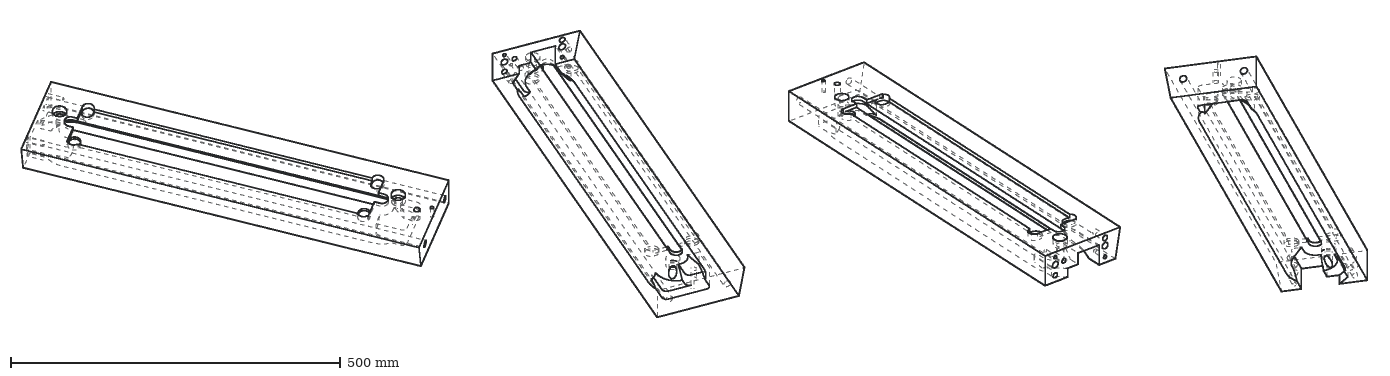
import cadquery as cq
import math

LENGTH = 637.0
WIDTH = 144.5
HEIGHT = 52.0
FRONT_SLOPE = 10.0

SLOT_START = 44.0
SLOT_END = 562.0
SLOT_WIDTH = 19.0
SLOT_Y = 77.0
RECESS_START = 61.0
RECESS_END = 543.0
RECESS_FRONT = 37.0
RECESS_BACK = 112.0
RECESS_DEPTH = 6.5
RECESS_FLOOR = HEIGHT - RECESS_DEPTH
FLARE_ANGLE = 38.0

RELIEF_WIDTH = 18.5
RELIEF_LENGTH = 22.0
RELIEF_FRONT_Y = 44.0
RELIEF_BACK_Y = 109.5
RELIEF_DEPTH = 11.0

POCKET_FRONT = 41.0
POCKET_BACK = 81.0
POCKET_TOP = 35.0
POCKET_CORNER = 7.5
STEP_MOUTH_BACK = 100.5
STEP_BACK = 118.5
STEP_TOP = 15.0
LEFT_POCKET_END = 66.0
RIGHT_POCKET_START = 554.0
RIGHT_POCKET_END = 602.0

MOUNT_POINTS = [(31.0, 92.0), (573.0, 92.0)]
MOUNT_BORE = 12.0
MOUNT_COUNTERBORE = 21.5
MOUNT_COUNTERBORE_DEPTH = 13.0

TOP_HOLES = [(609.5, 72.5, 9.0), (630.0, 83.5, 5.0)]
TOP_HOLE_DEPTH = 19.0
DRILL_POINT_ANGLE = 118.0

END_FRONT_Y = 29.0
END_BACK_Y = 125.0
END_BORE_Z = 30.0
END_BORE = 11.0
END_HOLES = [
    (END_BACK_Y, 43.0, 5.0),
    (END_BACK_Y, 11.5, 8.0),
    (108.0, 31.0, 7.5),
    (END_FRONT_Y, 43.0, 9.0),
    (END_FRONT_Y, 10.0, 6.0),
]
END_HOLE_DEPTH = 25.5


def box_between(x0, x1, y0, y1, z0, z1):
    return cq.Workplane("XY").box(x1 - x0, y1 - y0, z1 - z0, centered=False).translate((x0, y0, z0))


def straight_hole(diameter, depth):
    return cq.Workplane("XY").circle(diameter / 2).extrude(depth)


def drilled_hole(diameter, depth):
    """Blind hole along +Z from the origin, ending in a conical drill tip."""
    radius = diameter / 2
    tip = radius / math.tan(math.radians(DRILL_POINT_ANGLE / 2))
    half_section = [(0, 0), (radius, 0), (radius, depth), (0, depth + tip)]
    return cq.Workplane("XZ").polyline(half_section).close().revolve(360, (0, 0), (0, 1))


def from_top(tool, x, y):
    return tool.rotate((0, 0, 0), (1, 0, 0), 180).translate((x, y, HEIGHT))


def from_left_end(tool, y, z):
    return tool.rotate((0, 0, 0), (0, 1, 0), 90).translate((0, y, z))


def body():
    inset = HEIGHT * math.tan(math.radians(FRONT_SLOPE))
    profile = [(0, HEIGHT), (WIDTH, HEIGHT), (WIDTH, 0), (inset, 0)]
    return cq.Workplane("YZ").polyline(profile).close().extrude(LENGTH)


def slot():
    middle = ((SLOT_START + SLOT_END) / 2, SLOT_Y, RECESS_FLOOR)
    plane = cq.Workplane("XY", origin=middle)
    straight = plane.slot2D(SLOT_END - SLOT_START, SLOT_WIDTH).extrude(RECESS_DEPTH)
    flare = plane.slot2D(SLOT_END - SLOT_START, SLOT_WIDTH).extrude(-RECESS_FLOOR, taper=-FLARE_ANGLE)
    return straight.union(flare)


def recess():
    cut = box_between(RECESS_START, RECESS_END, RECESS_FRONT, RECESS_BACK, RECESS_FLOOR, HEIGHT)
    inset_x = RELIEF_WIDTH / 2
    for x in (RECESS_START + inset_x, RECESS_END - inset_x):
        for y in (RELIEF_FRONT_Y, RELIEF_BACK_Y):
            top = cq.Workplane("XY", origin=(x, y, HEIGHT))
            cut = cut.union(top.slot2D(RELIEF_LENGTH, RELIEF_WIDTH, 90).extrude(-RELIEF_DEPTH))
    return cut


def pocket_block(x0, x1, y1, z1):
    """Underside pocket whose corners at the right end are rounded."""
    box = box_between(x0, x1, POCKET_FRONT, y1, 0, z1)
    return box.edges("|Z and >X").fillet(POCKET_CORNER)


def left_pocket():
    widening = STEP_BACK - STEP_MOUTH_BACK
    mouth = [(0, POCKET_FRONT), (0, STEP_MOUTH_BACK), (widening, STEP_BACK), (widening, POCKET_FRONT)]
    cut = cq.Workplane("XY").polyline(mouth).close().extrude(STEP_TOP)
    cut = cut.union(pocket_block(widening, LEFT_POCKET_END, STEP_BACK, STEP_TOP))
    return cut.union(pocket_block(0, LEFT_POCKET_END, POCKET_BACK, POCKET_TOP))


def right_pocket():
    step = pocket_block(RIGHT_POCKET_START, RIGHT_POCKET_END, STEP_BACK, STEP_TOP)
    return step.union(pocket_block(RIGHT_POCKET_START, RIGHT_POCKET_END, POCKET_BACK, POCKET_TOP))


result = body().cut(recess()).cut(slot()).cut(left_pocket()).cut(right_pocket())
for x, y in MOUNT_POINTS:
    result = result.cut(from_top(straight_hole(MOUNT_BORE, HEIGHT), x, y))
    result = result.cut(from_top(straight_hole(MOUNT_COUNTERBORE, MOUNT_COUNTERBORE_DEPTH), x, y))
for x, y, diameter in TOP_HOLES:
    result = result.cut(from_top(drilled_hole(diameter, TOP_HOLE_DEPTH), x, y))
for y in (END_FRONT_Y, END_BACK_Y):
    result = result.cut(from_left_end(straight_hole(END_BORE, LENGTH), y, END_BORE_Z))
for y, z, diameter in END_HOLES:
    result = result.cut(from_left_end(drilled_hole(diameter, END_HOLE_DEPTH), y, z))